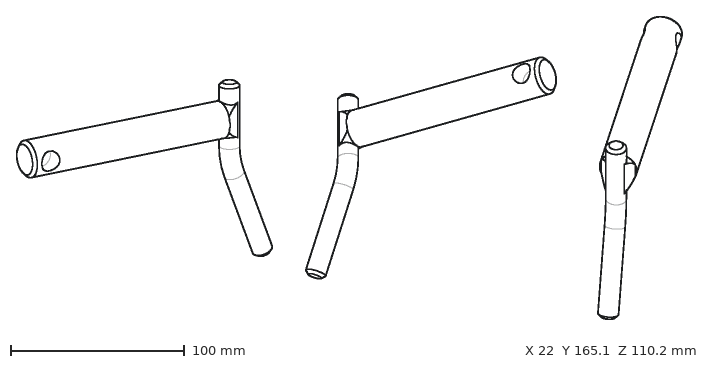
import cadquery as cq
import math

pin_diameter = 22.0
pin_length = 131.3
hole_diameter = 12.0
hole_to_front = 11.0
chamfer = 2.0

bar_diameter = 12.0
bar_radius = bar_diameter / 2
bar_top = 22.0
bend_start = -17.0
bend_radius = 50.0
bend_angle = 20.7
tail_length = 55.7

weld_half_width = 9.9
weld_depth = 8.6
weld_flare = 1.2


def make_pin():
    pin = cq.Workplane("XZ").circle(pin_diameter / 2).extrude(pin_length)
    pin = pin.faces("<Y").chamfer(chamfer)
    hole = (
        cq.Workplane("YZ")
        .center(hole_to_front - pin_length, 0)
        .circle(hole_diameter / 2)
        .extrude(pin_diameter, both=True)
    )
    return pin.cut(hole)


def make_handle():
    def bend_point(degrees):
        angle = math.radians(degrees)
        y = bar_radius + bend_radius * (1 - math.cos(angle))
        z = bend_start - bend_radius * math.sin(angle)
        return y, z

    tail_angle = math.radians(bend_angle)
    bend_end = bend_point(bend_angle)
    tail_end = (
        bend_end[0] + tail_length * math.sin(tail_angle),
        bend_end[1] - tail_length * math.cos(tail_angle),
    )
    path = (
        cq.Workplane("YZ")
        .moveTo(bar_radius, bar_top)
        .lineTo(bar_radius, bend_start)
        .threePointArc(bend_point(bend_angle / 2), bend_end)
        .lineTo(*tail_end)
    )
    bar = cq.Workplane("XY", origin=(0, bar_radius, bar_top)).circle(bar_radius).sweep(path)
    return bar.faces(">Z or <Z").chamfer(chamfer)


def make_weld(side):
    """Wedge on one side of the bar (side is 1 or -1), trimmed to a cone that flares from the pin."""
    tip_angle = math.asin((weld_depth - bar_radius) / bar_radius)
    mid_angle = (tip_angle - math.pi / 2) / 2
    tip = (side * bar_radius * math.cos(tip_angle), weld_depth)
    arc_middle = (
        side * bar_radius * math.cos(mid_angle),
        bar_radius + bar_radius * math.sin(mid_angle),
    )
    wedge = (
        cq.Workplane("XY")
        .moveTo(0, 0)
        .lineTo(side * weld_half_width, 0)
        .lineTo(*tip)
        .threePointArc(arc_middle, (0, 0))
        .close()
        .extrude(pin_diameter, both=True)
    )
    cone = cq.Solid.makeCone(
        pin_diameter / 2,
        pin_diameter / 2 + weld_flare,
        weld_depth,
        pnt=cq.Vector(0, 0, 0),
        dir=cq.Vector(0, 1, 0),
    )
    return wedge.intersect(cq.Workplane(obj=cone))


pin = make_pin()
handle = make_handle()
welds = [make_weld(side) for side in (-1, 1)]

result = cq.Compound.makeCompound([pin.val(), handle.val(), *[weld.val() for weld in welds]])